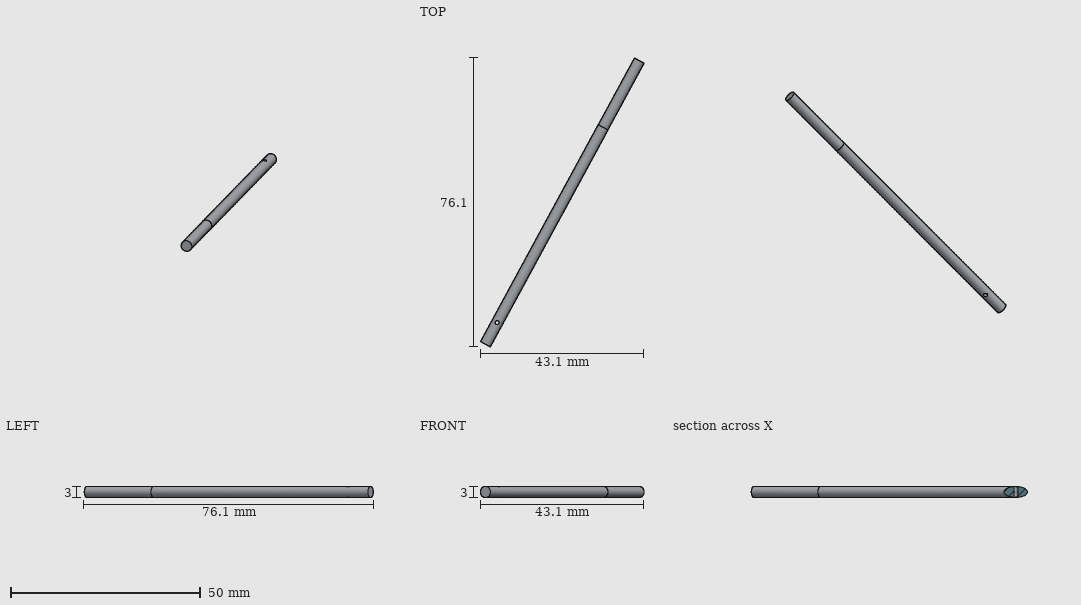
import cadquery as cq

TOTAL_LENGTH = 85.0
BODY_DIAMETER = 3.0
TIP_DIAMETER = 2.93
TIP_LENGTH = 20.0
HOLE_DIAMETER = 1.0
HOLE_FROM_END = 6.5
TILT_FROM_Y = 28.48

BODY_LENGTH = TOTAL_LENGTH - TIP_LENGTH


def rod(diameter, start, length):
    """Solid cylinder along +Y, beginning at the given distance from the origin."""
    circle = cq.Workplane("XZ", origin=(0, start, 0)).circle(diameter / 2)
    return circle.extrude(-length)


def cross_hole():
    """Cutter for the hole that crosses the body through its axis, along Z."""
    circle = cq.Workplane("XY").center(0, HOLE_FROM_END).circle(HOLE_DIAMETER / 2)
    return circle.extrude(BODY_DIAMETER, both=True)


body = rod(BODY_DIAMETER, 0, BODY_LENGTH)
tip = rod(TIP_DIAMETER, BODY_LENGTH, TIP_LENGTH)
pin = body.union(tip).cut(cross_hole())

result = pin.rotate((0, 0, 0), (0, 0, 1), -TILT_FROM_Y)